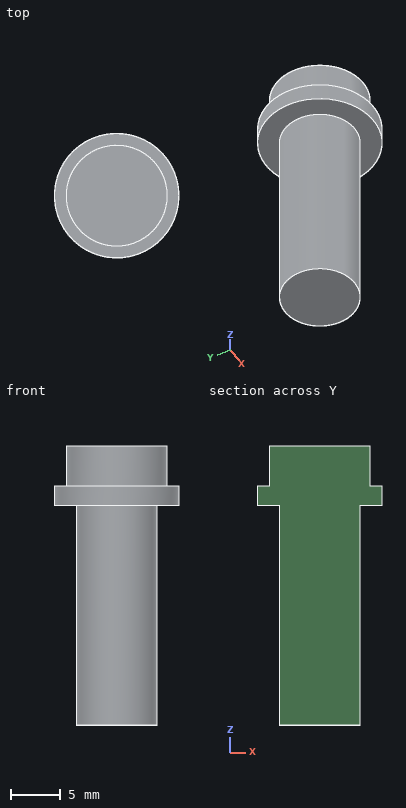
import cadquery as cq

total_length = 28.0
head_height = 4.0
flange_height = 2.0
shaft_length = total_length - flange_height - head_height

shaft_diameter = 8.1
flange_diameter = 12.5
head_diameter = 10.1


def cylinder_step(diameter, height, base_z):
    """Solid cylinder on the Z axis, standing on the height base_z."""
    return cq.Workplane("XY").workplane(offset=base_z).circle(diameter / 2).extrude(height)


shaft = cylinder_step(shaft_diameter, shaft_length, 0)
flange = cylinder_step(flange_diameter, flange_height, shaft_length)
head = cylinder_step(head_diameter, head_height, shaft_length + flange_height)

result = shaft.union(flange).union(head)